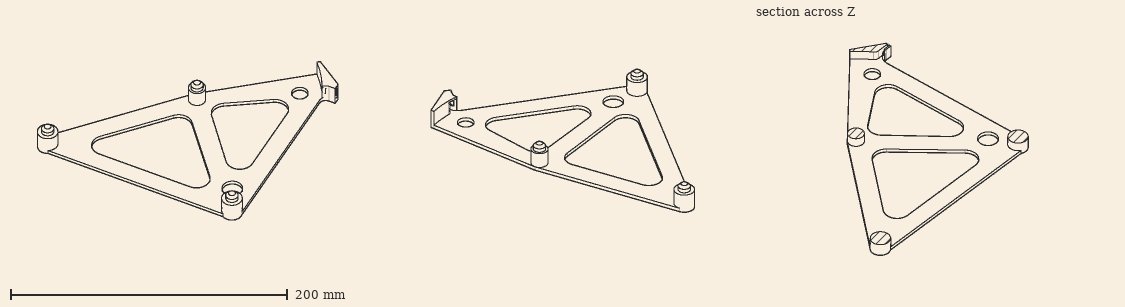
import cadquery as cq
import math

plate_thickness = 3.0
boss_height = 15.0
pin_height = 20.0

pin_diameter = 9.0
pin_chamfer = 2.0

boss_span = 150.0
middle_boss = (75.0, 90.0)
bosses = [
    ((0.0, 0.0), 15.0),
    (middle_boss, 12.5),
    ((boss_span, 0.0), 15.0),
]

bottom_edge_y = -6.5
left_edge_start = (-5.7, 4.87)
middle_corner = (70.4, 94.4)
right_edge_start = (157.4, 0.0)

hook_tip = (141.5, 155.09)
hook_corner = (139.7, 153.3)
hook_end_x = 164.09
hook_end_top_y = 139.9
hook_end_bottom_y = 135.0
neck_radius = 5.0
neck_center = (159.0, hook_end_bottom_y - neck_radius)
hook_inner_radius = math.dist(hook_corner, middle_boss)

lid_thickness = 2.0
slit_top_y = 138.1
slit_width = 0.5
slit_height = boss_height - lid_thickness - plate_thickness
upper_lip_radius = 4.0
lower_lip_radius = 4.75
lower_lip_center_x = 159.4

notch_depth = 1.0
notch_end_y = 134.9
notch_floor_z = 6.65
notch_roof_start_z = 10.85

holes = [((138.0, 130.0), 12.0), ((140.0, 20.0), 15.0)]

window_radius = 10.0
windows = [
    [(38.0, 17.5), (112.0, 17.5), (75.0, 61.0)],
    [(99.4, 87.0), (131.0, 49.0), (129.5, 107.0)],
]


def disk(center, diameter, height, base_z=0.0):
    """Upright cylinder standing at base_z."""
    return cq.Workplane("XY", origin=(*center, base_z)).circle(diameter / 2).extrude(height)


def neck_point(angle):
    """Point on the neck circle at an angle from +X."""
    return (
        neck_center[0] + neck_radius * math.cos(angle),
        neck_center[1] + neck_radius * math.sin(angle),
    )


def neck_tangent_point():
    """Point where the line from the start of the right edge touches the neck circle."""
    dx = right_edge_start[0] - neck_center[0]
    dy = right_edge_start[1] - neck_center[1]
    angle = math.atan2(dy, dx) - math.acos(neck_radius / math.hypot(dx, dy))
    return neck_point(angle)


def outline(height):
    """The plate and hook outline, extruded upwards from the underside."""
    return (
        cq.Workplane("XY")
        .moveTo(0, bottom_edge_y)
        .lineTo(boss_span, bottom_edge_y)
        .lineTo(*right_edge_start)
        .lineTo(*neck_tangent_point())
        .threePointArc(neck_point(math.radians(135)), (neck_center[0], hook_end_bottom_y))
        .lineTo(hook_end_x, hook_end_bottom_y)
        .lineTo(hook_end_x, hook_end_top_y)
        .lineTo(*hook_tip)
        .lineTo(*hook_corner)
        .lineTo(*middle_corner)
        .lineTo(*left_edge_start)
        .close()
        .extrude(height)
    )


def window_cutter(centers):
    """Triangle with rounded corners: the hull of three equal circles."""
    cutter = cq.Workplane("XY").polyline(centers).close().offset2D(window_radius)
    return cutter.extrude(plate_thickness)


def hook():
    """Full-height part of the outline, outside the arc around the middle boss."""
    upper_half = (
        cq.Workplane("XY")
        .box(hook_end_x, hook_tip[1] - neck_center[1], boss_height, centered=False)
        .translate((0, neck_center[1], 0))
    )
    inside = disk(middle_boss, 2 * hook_inner_radius, boss_height)
    return outline(boss_height).intersect(upper_half).cut(inside)


def slit_cutter():
    """Slit with a rounded upper lip, tangent to the hook arc, and a rounded lower lip."""
    slit_bottom_y = slit_top_y - slit_width
    reach = hook_inner_radius + upper_lip_radius
    upper_y = slit_top_y + upper_lip_radius
    rise = math.asin((upper_y - middle_boss[1]) / reach)
    upper_x = middle_boss[0] + reach * math.cos(rise)
    touch_x = upper_x - upper_lip_radius * math.cos(rise)
    touch_y = upper_y - upper_lip_radius * math.sin(rise)
    touch_angle = rise + math.pi
    bottom_angle = 1.5 * math.pi
    upper_middle = (touch_angle + bottom_angle) / 2
    lower_y = slit_bottom_y - lower_lip_radius
    diagonal = lower_lip_radius * math.sqrt(0.5)
    return (
        cq.Workplane("XY", origin=(0, 0, plate_thickness))
        .moveTo(touch_x, touch_y)
        .threePointArc(
            (
                upper_x + upper_lip_radius * math.cos(upper_middle),
                upper_y + upper_lip_radius * math.sin(upper_middle),
            ),
            (upper_x, slit_top_y),
        )
        .lineTo(hook_end_x, slit_top_y)
        .lineTo(hook_end_x, slit_bottom_y)
        .lineTo(lower_lip_center_x, slit_bottom_y)
        .threePointArc(
            (lower_lip_center_x - diagonal, lower_y + diagonal),
            (lower_lip_center_x - lower_lip_radius, lower_y),
        )
        .close()
        .extrude(slit_height)
    )


def notch_cutter():
    """Notch around the lower lip, with a flat floor and a roof that rises to the slit ceiling."""
    lip_center_y = slit_top_y - slit_width - lower_lip_radius
    notch_start_x = lower_lip_center_x - math.sqrt(
        lower_lip_radius**2 - (notch_end_y - lip_center_y) ** 2
    )
    slit_ceiling_z = plate_thickness + slit_height
    prism = (
        cq.Workplane("XZ", origin=(0, slit_top_y, 0))
        .moveTo(notch_start_x, notch_floor_z)
        .lineTo(hook_end_x, notch_floor_z)
        .lineTo(hook_end_x, slit_ceiling_z)
        .lineTo(lower_lip_center_x, slit_ceiling_z)
        .lineTo(notch_start_x, notch_roof_start_z)
        .close()
        .extrude(slit_top_y - notch_end_y)
    )
    core_radius = lower_lip_radius - notch_depth
    core_center = (lower_lip_center_x, lip_center_y)
    core = disk(core_center, 2 * core_radius, boss_height)
    core_bar = (
        cq.Workplane("XY")
        .box(hook_end_x - lower_lip_center_x, core_radius, boss_height, centered=False)
        .translate((*core_center, 0))
    )
    return prism.cut(core).cut(core_bar)


def boss(center, diameter):
    """Boss with a chamfered pin on top."""
    pin_length = pin_height - boss_height
    pin = disk(center, pin_diameter, pin_length, boss_height).faces(">Z").chamfer(pin_chamfer)
    return disk(center, diameter, boss_height).union(pin)


plate = outline(plate_thickness)
for window in windows:
    plate = plate.cut(window_cutter(window))
for hole_center, hole_diameter in holes:
    plate = plate.cut(disk(hole_center, hole_diameter, plate_thickness))

result = plate.union(hook().cut(slit_cutter()).cut(notch_cutter()))
for boss_center, boss_diameter in bosses:
    result = result.union(boss(boss_center, boss_diameter))